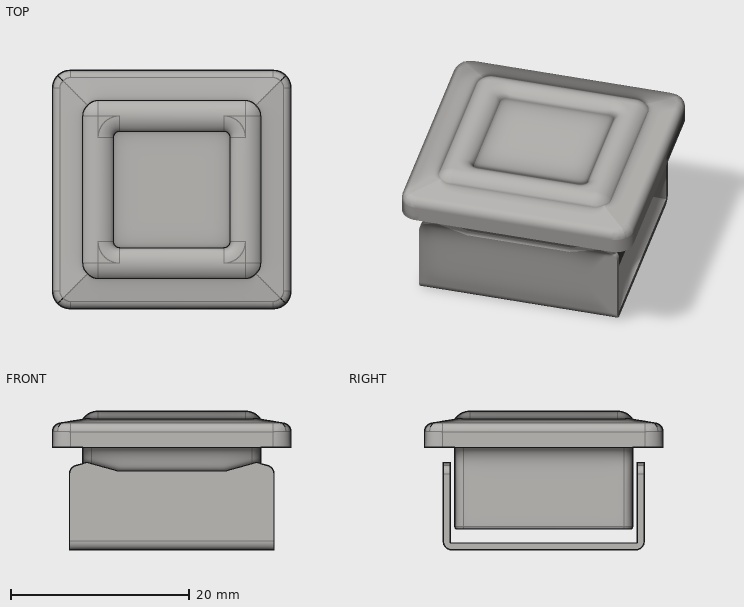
import cadquery as cq
import math

TOTAL_HEIGHT = 15.6
CAP_UNDERSIDE = 11.52

CAP_SIZE = 26.8
CAP_CORNER_RADIUS = 2.0
CAP_EDGE_RADIUS = 1.0
CAP_SLOPE = 9.5
RIDGE_OUTER_SIZE = 20.0
WINDOW_SIZE = 13.08
WINDOW_CORNER_RADIUS = 0.7
RIDGE_HEIGHT = 0.9

HOUSING_SIZE = RIDGE_OUTER_SIZE
HOUSING_UNDERSIDE = 2.33
HOUSING_CORNER_RADIUS = 1.0
HOUSING_BOTTOM_RADIUS = 0.3

CLIP_WIDTH = 23.0
CLIP_THICKNESS = 0.8
CLIP_INNER_SPAN = 20.98
CLIP_BEND_RADIUS = 1.0
CLIP_CORNER_RADIUS = 1.0
CLIP_DIP_HEIGHT = 8.85
CLIP_DIP_WIDTH = 11.9
CLIP_PEAK_RISE = 1.0
CLIP_EDGE_SLOPE = 15.5

ridge_foot_z = TOTAL_HEIGHT - RIDGE_HEIGHT
ridge_half_width = (RIDGE_OUTER_SIZE - WINDOW_SIZE) / 4
crest_half_span = (RIDGE_OUTER_SIZE + WINDOW_SIZE) / 4
ridge_arc_radius = (ridge_half_width**2 + RIDGE_HEIGHT**2) / (2 * RIDGE_HEIGHT)
ridge_mid_angle = math.asin(ridge_half_width / ridge_arc_radius) / 2
ridge_mid_run = ridge_arc_radius * math.sin(ridge_mid_angle)
ridge_mid_drop = ridge_arc_radius * (1 - math.cos(ridge_mid_angle))


def moulded_square(half_profile, corner_half_span):
    """Carry a half profile round a square with rounded corners.

    half_profile(start) returns a closed sketch on the XZ plane, reaching outward
    from X = 0; start is the distance from X = 0 to the corner axis.
    """
    side = half_profile(corner_half_span).extrude(corner_half_span, both=True)
    corner = half_profile(0).revolve(360, (0, 0, 0), (0, 1, 0))
    solid = side
    for turn in range(1, 4):
        solid = solid.union(side.rotate((0, 0, 0), (0, 0, 1), 90 * turn))
    for x in (-corner_half_span, corner_half_span):
        for y in (-corner_half_span, corner_half_span):
            solid = solid.union(corner.translate((x, y, 0)))
    return solid


def ridge_half_profile(start):
    """Outer flank of the ridge, from its crest down to its foot and into the cap."""
    foot = start + ridge_half_width
    profile = cq.Workplane("XZ").moveTo(0, CAP_UNDERSIDE).lineTo(0, TOTAL_HEIGHT)
    if start > 0:
        profile = profile.lineTo(start, TOTAL_HEIGHT)
    return (
        profile
        .threePointArc((start + ridge_mid_run, TOTAL_HEIGHT - ridge_mid_drop), (foot, ridge_foot_z))
        .lineTo(foot, CAP_UNDERSIDE)
        .close()
    )


def window_half_profile(start):
    """Space inside the ridge, from the window floor up the inner flank to the crest."""
    floor_edge = start + WINDOW_CORNER_RADIUS
    crest = floor_edge + ridge_half_width
    return (
        cq.Workplane("XZ")
        .moveTo(0, ridge_foot_z)
        .lineTo(floor_edge, ridge_foot_z)
        .threePointArc((crest - ridge_mid_run, TOTAL_HEIGHT - ridge_mid_drop), (crest, TOTAL_HEIGHT))
        .lineTo(0, TOTAL_HEIGHT)
        .close()
    )


def make_bezel_quarter():
    """The +X quarter of the bezel, between the two diagonals of the square."""
    half_size = CAP_SIZE / 2
    slope = math.tan(math.radians(CAP_SLOPE))
    eave_z = ridge_foot_z - (half_size - RIDGE_OUTER_SIZE / 2) * slope
    level_z = ridge_foot_z + ridge_half_width * slope
    outline = (
        cq.Workplane("XY", origin=(0, 0, CAP_UNDERSIDE))
        .rect(CAP_SIZE, CAP_SIZE)
        .extrude(level_z - CAP_UNDERSIDE)
        .edges("|Z")
        .fillet(CAP_CORNER_RADIUS)
    )
    wedge = (
        cq.Workplane("XY", origin=(0, 0, CAP_UNDERSIDE))
        .polyline([(0, 0), (half_size, -half_size), (half_size, half_size)])
        .close()
        .extrude(level_z - CAP_UNDERSIDE)
    )
    under_slope = (
        cq.Workplane("XZ")
        .polyline([
            (0, CAP_UNDERSIDE),
            (half_size, CAP_UNDERSIDE),
            (half_size, eave_z),
            (crest_half_span, level_z),
            (0, level_z),
        ])
        .close()
        .extrude(half_size, both=True)
    )
    eave = cq.selectors.BoxSelector(
        (half_size - CAP_CORNER_RADIUS, -half_size, ridge_foot_z - CAP_EDGE_RADIUS),
        (CAP_SIZE, half_size, level_z),
    )
    return outline.intersect(wedge).intersect(under_slope).edges(eave).fillet(CAP_EDGE_RADIUS)


def make_bezel():
    """Square plate whose top slopes up towards the ridge on all four sides."""
    quarter = make_bezel_quarter()
    bezel = quarter
    for turn in range(1, 4):
        bezel = bezel.union(quarter.rotate((0, 0, 0), (0, 0, 1), 90 * turn))
    return bezel


def make_cap():
    """Bezel with the ridge on top and the window sunk inside it."""
    ridge = moulded_square(ridge_half_profile, crest_half_span)
    window = moulded_square(window_half_profile, WINDOW_SIZE / 2 - WINDOW_CORNER_RADIUS)
    return make_bezel().union(ridge).cut(window)


def make_housing():
    """Block that hangs from the underside of the cap."""
    return (
        cq.Workplane("XY", origin=(0, 0, HOUSING_UNDERSIDE))
        .rect(HOUSING_SIZE, HOUSING_SIZE)
        .extrude(CAP_UNDERSIDE - HOUSING_UNDERSIDE)
        .edges("|Z")
        .fillet(HOUSING_CORNER_RADIUS)
        .faces("<Z")
        .edges()
        .fillet(HOUSING_BOTTOM_RADIUS)
    )


def make_clip():
    """Strap bent into a U, with a wavy upper edge on each arm."""
    outer_span = CLIP_INNER_SPAN + 2 * CLIP_THICKNESS
    slope = math.tan(math.radians(CLIP_EDGE_SLOPE))
    half_width = CLIP_WIDTH / 2
    dip_half = CLIP_DIP_WIDTH / 2
    peak_x = dip_half + CLIP_PEAK_RISE / slope
    peak_z = CLIP_DIP_HEIGHT + CLIP_PEAK_RISE
    shoulder_z = peak_z - (half_width - peak_x) * slope

    arm_outline = (
        cq.Workplane("XZ")
        .polyline([
            (-half_width, 0),
            (half_width, 0),
            (half_width, shoulder_z),
            (peak_x, peak_z),
            (dip_half, CLIP_DIP_HEIGHT),
            (-dip_half, CLIP_DIP_HEIGHT),
            (-peak_x, peak_z),
            (-half_width, shoulder_z),
        ])
        .close()
        .extrude(outer_span / 2, both=True)
    )
    shoulders = cq.selectors.BoxSelector(
        (-CLIP_WIDTH, -outer_span, CLIP_THICKNESS), (CLIP_WIDTH, outer_span, TOTAL_HEIGHT)
    )
    blank = (
        arm_outline.faces("<X or >X")
        .edges("|Y")
        .edges(shoulders)
        .fillet(CLIP_CORNER_RADIUS)
        .faces("<Z")
        .edges("|X")
        .fillet(CLIP_BEND_RADIUS)
    )
    inside = (
        cq.Workplane("XY", origin=(0, 0, CLIP_THICKNESS))
        .rect(CLIP_WIDTH, CLIP_INNER_SPAN)
        .extrude(peak_z)
    )
    return blank.cut(inside)


cap = make_cap()
housing = make_housing()
clip = make_clip()

result = cq.Compound.makeCompound([cap.val(), housing.val(), clip.val()])